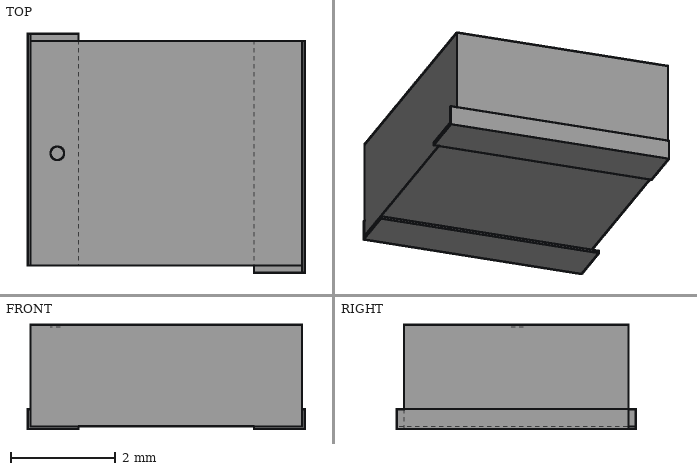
import cadquery as cq

overall_x = 5.33
overall_y = 4.6
overall_z = 2.01

sheet_thickness = 0.05
terminal_height = 0.385
foot_width = 0.98
terminal_overhang = 0.14

body_x = overall_x - 2 * sheet_thickness
body_y = overall_y - 2 * terminal_overhang
body_z = overall_z - sheet_thickness
terminal_length = body_y + terminal_overhang

dot_diameter = 0.26
dot_depth = 0.05
dot_x = -2.095


def make_dot():
    return (
        cq.Workplane("XY", origin=(dot_x, 0, overall_z - dot_depth))
        .circle(dot_diameter / 2)
        .extrude(dot_depth)
    )


def make_body(dot):
    block = cq.Workplane("XY", origin=(0, 0, sheet_thickness)).box(
        body_x, body_y, body_z, centered=(True, True, False)
    )
    return block.cut(dot)


def make_terminal(turn):
    """L-shaped strip on the -X side, turned about Z by the given angle."""
    outer_x = -overall_x / 2
    inner_x = -body_x / 2
    return (
        cq.Workplane("XZ", origin=(0, overall_y / 2, 0))
        .moveTo(outer_x, 0)
        .lineTo(outer_x + foot_width, 0)
        .lineTo(outer_x + foot_width, sheet_thickness)
        .lineTo(inner_x, sheet_thickness)
        .lineTo(inner_x, terminal_height)
        .lineTo(outer_x, terminal_height)
        .close()
        .extrude(terminal_length)
        .rotate((0, 0, 0), (0, 0, 1), turn)
    )


dot = make_dot()
body = make_body(dot)
terminals = [make_terminal(turn) for turn in (0, 180)]

result = cq.Compound.makeCompound(
    [body.val(), dot.val(), *[terminal.val() for terminal in terminals]]
)